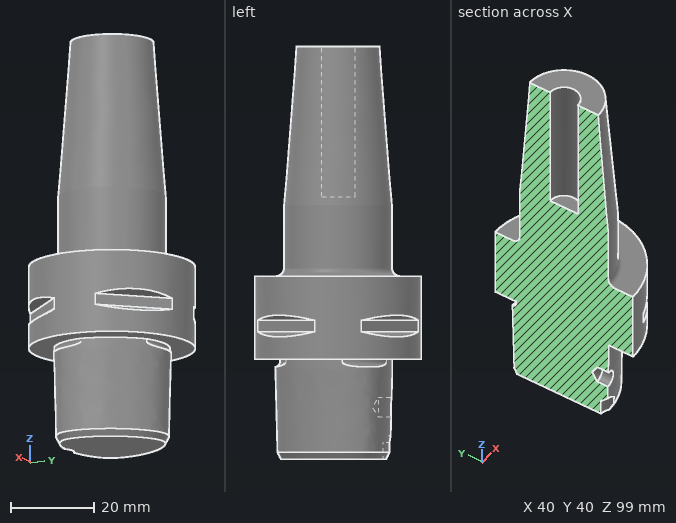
import cadquery as cq
import math

total_height = 99.0
flange_bottom = 24.0
flange_top = 44.0
cone_bottom = 61.0

flange_radius = 20.0
neck_radius = 13.0
nose_radius = 10.0
root_fillet = 2.0
bore_diameter = 8.0
bore_depth = 36.0

shank_mean_radius = 14.1
lobe_height = 1.0
taper_top = 21.7
taper_end_reduction = 0.5
shank_chamfer = 0.9
chamfer_height = 1.7
relief_radius = 14.0
relief_corner = 1.2
relief_bottom = 22.2

notch_radius = 3.7
notch_axis_offset = 14.4
notch_depth = 4.2
notch_point_half_angle = 45.0
side_hole_diameter = 4.7
side_hole_height = 12.6
side_hole_depth = 3.5
side_hole_point_half_angle = 59.0

groove_height = 32.0
groove_floor_width = 2.7
groove_floor_distance = 17.5
groove_flank_angle = 27.0


def make_round_body():
    """Flange, cylindrical neck and conical nose, with the bore in its top."""
    flange_plane = cq.Workplane("XY").workplane(offset=flange_bottom)
    flange = flange_plane.circle(flange_radius).extrude(flange_top - flange_bottom)
    root_radius = neck_radius + root_fillet
    arc_inset = root_fillet * (1 - math.sqrt(0.5))
    spindle = (
        cq.Workplane("XZ")
        .moveTo(0, flange_top)
        .lineTo(root_radius, flange_top)
        .threePointArc(
            (neck_radius + arc_inset, flange_top + arc_inset),
            (neck_radius, flange_top + root_fillet),
        )
        .lineTo(neck_radius, cone_bottom)
        .lineTo(nose_radius, total_height)
        .lineTo(0, total_height)
        .close()
        .revolve(360, (0, 0), (0, 1))
    )
    body = flange.union(spindle)
    return body.faces(">Z").workplane().hole(bore_diameter, bore_depth)


def lobed_section(height, mean_radius):
    """Closed wire of constant width with three lobes, from its support function."""

    def point(turn):
        angle = 2 * math.pi * turn
        support = mean_radius + lobe_height * math.cos(3 * angle)
        slope = -3 * lobe_height * math.sin(3 * angle)
        along_y = support * math.cos(angle) - slope * math.sin(angle)
        along_x = support * math.sin(angle) + slope * math.cos(angle)
        return (along_x, along_y)

    section = cq.Workplane("XY").workplane(offset=height).parametricCurve(point, N=72)
    return section.wire().val()


def make_shank():
    """Chamfered end, taper and straight collar, with the lobes relieved below the flange."""
    end_radius = shank_mean_radius - taper_end_reduction
    sections = [
        lobed_section(0, end_radius - shank_chamfer),
        lobed_section(chamfer_height, end_radius),
        lobed_section(taper_top, shank_mean_radius),
        lobed_section(flange_bottom, shank_mean_radius),
    ]
    shank = cq.Workplane(cq.Solid.makeLoft(sections, True))
    arc_inset = relief_corner * (1 - math.sqrt(0.5))
    relief = (
        cq.Workplane("XZ")
        .moveTo(relief_radius, flange_bottom)
        .lineTo(relief_radius, relief_bottom + relief_corner)
        .threePointArc(
            (relief_radius + arc_inset, relief_bottom + arc_inset),
            (relief_radius + relief_corner, relief_bottom),
        )
        .lineTo(flange_radius, relief_bottom)
        .lineTo(flange_radius, flange_bottom)
        .close()
        .revolve(360, (0, 0), (0, 1))
    )
    return shank.cut(relief)


def make_drill(radius, depth, half_angle):
    """Cylinder along +Z ending in a conical drill point."""
    point_length = radius / math.tan(math.radians(half_angle))
    return (
        cq.Workplane("XZ")
        .polyline([(0, 0), (radius, 0), (radius, depth), (0, depth + point_length)])
        .close()
        .revolve(360, (0, 0), (0, 1))
    )


def make_key_notch():
    drill = make_drill(notch_radius, notch_depth, notch_point_half_angle)
    return drill.translate((0, -notch_axis_offset, 0))


def make_side_hole():
    start = shank_mean_radius
    flat_distance = shank_mean_radius - lobe_height
    depth = start - flat_distance + side_hole_depth
    drill = make_drill(side_hole_diameter / 2, depth, side_hole_point_half_angle)
    return drill.rotate((0, 0, 0), (1, 0, 0), -90).translate((0, -start, side_hole_height))


def make_gripper_groove(angle):
    """Straight flat-floored groove whose flanks open outwards."""
    half_floor = groove_floor_width / 2
    depth = flange_radius - groove_floor_distance
    half_mouth = half_floor + depth * math.tan(math.radians(groove_flank_angle))
    return (
        cq.Workplane("XZ")
        .polyline(
            [
                (groove_floor_distance, groove_height - half_floor),
                (flange_radius, groove_height - half_mouth),
                (flange_radius, groove_height + half_mouth),
                (groove_floor_distance, groove_height + half_floor),
            ]
        )
        .close()
        .extrude(flange_radius, both=True)
        .rotate((0, 0, 0), (0, 0, 1), angle)
    )


result = make_round_body().union(make_shank())
result = result.cut(make_key_notch()).cut(make_side_hole())
for groove_angle in (45, 135, 225, 315):
    result = result.cut(make_gripper_groove(groove_angle))